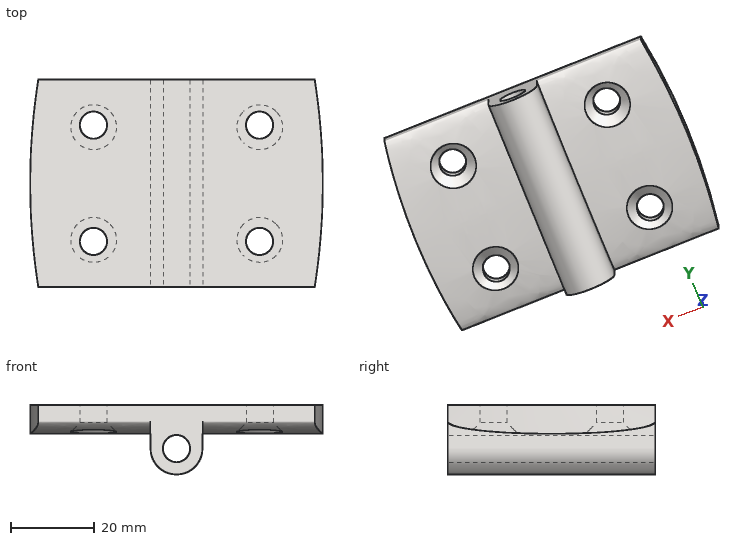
import cadquery as cq
import math

length = 70.5
width = 50.0
end_bulge = 2.0
edge_thickness = 4.0
middle_thickness = 7.0

lug_radius = 6.3
overall_height = 16.8
pin_hole_diameter = 6.5

hole_diameter = 6.5
countersink_start = 4.2
countersink_angle = 90
hole_spacing_x = 40.0
hole_spacing_y = 28.0

half_length = length / 2
half_width = width / 2
corner_x = half_length - end_bulge
belly_depth = middle_thickness - edge_thickness
lug_center_z = lug_radius - overall_height


def make_plate():
    """Plate with arched ends and a half-elliptical underside; its top is at Z = 0."""
    outline = (
        cq.Workplane("XY")
        .workplane(offset=-middle_thickness)
        .moveTo(-corner_x, -half_width)
        .lineTo(corner_x, -half_width)
        .threePointArc((half_length, 0), (corner_x, half_width))
        .lineTo(-corner_x, half_width)
        .threePointArc((-half_length, 0), (-corner_x, -half_width))
        .close()
        .extrude(middle_thickness)
    )
    slab = cq.Workplane("XY").box(length, width, edge_thickness, centered=(True, True, False))
    slab = slab.translate((0, 0, -edge_thickness))
    belly = (
        cq.Workplane("YZ")
        .center(0, -edge_thickness)
        .ellipse(half_width, belly_depth)
        .extrude(half_length, both=True)
    )
    return outline.intersect(slab.union(belly))


def make_lug():
    """Round-ended lug running the full width under the plate."""
    return (
        cq.Workplane("XZ")
        .moveTo(-lug_radius, -edge_thickness)
        .lineTo(-lug_radius, lug_center_z)
        .threePointArc((0, -overall_height), (lug_radius, lug_center_z))
        .lineTo(lug_radius, -edge_thickness)
        .close()
        .extrude(half_width, both=True)
    )


pin_hole = (
    cq.Workplane("XZ")
    .center(0, lug_center_z)
    .circle(pin_hole_diameter / 2)
    .extrude(half_width, both=True)
)

def make_mounting_hole():
    """Through hole with a countersink that opens on the curved underside."""
    hole_radius = hole_diameter / 2
    cone_depth = middle_thickness - countersink_start
    cone_radius = hole_radius + cone_depth * math.tan(math.radians(countersink_angle / 2))
    return (
        cq.Workplane("XZ")
        .lineTo(hole_radius, 0)
        .lineTo(hole_radius, -countersink_start)
        .lineTo(cone_radius, -middle_thickness)
        .lineTo(0, -middle_thickness)
        .close()
        .revolve(360, (0, 0, 0), (0, 1, 0))
    )


result = make_plate().union(make_lug()).cut(pin_hole)
mounting_hole = make_mounting_hole()
for x in (-hole_spacing_x / 2, hole_spacing_x / 2):
    for y in (-hole_spacing_y / 2, hole_spacing_y / 2):
        result = result.cut(mounting_hole.translate((x, y, 0)))